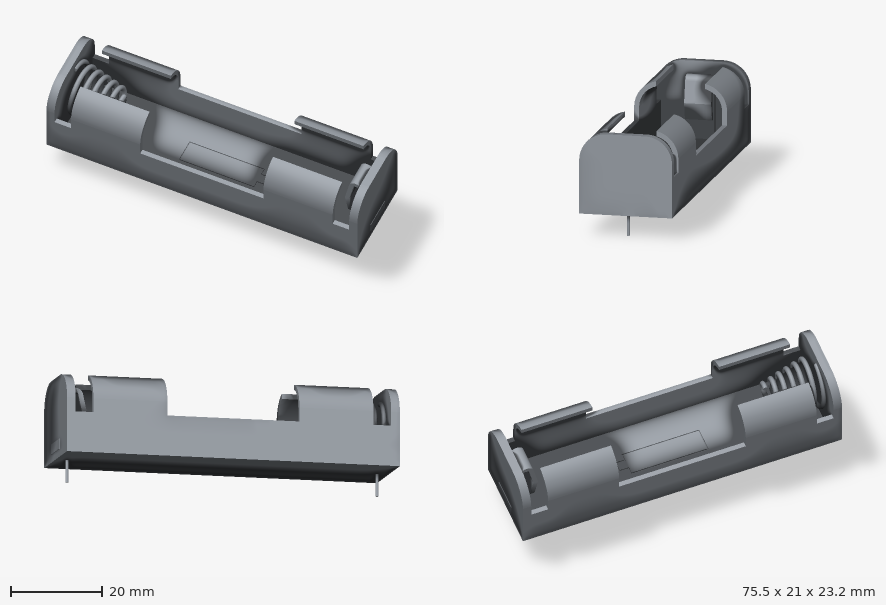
import cadquery as cq
import math

BODY_LENGTH = 75.35
BODY_WIDTH = 21.0
BODY_HEIGHT = 18.2
SHOULDER_RADIUS = 6.1
SIDE_WALL = 1.1
END_WALL = 2.0
FLOOR = 1.0

RIM_HEIGHT = 9.0
CLIP_START = 6.0
CLIP_END = 22.7
CLIP_GAP = 11.1

CELL_AXIS_HEIGHT = 9.6
WIRE_DIAMETER = 1.1
SPRING_START = 2.0
SPRING_LENGTH = 12.0
SPRING_TURNS = 6
SPRING_BASE_RADIUS = 6.0
SPRING_TIP_RADIUS = 2.95
POINTS_PER_TURN = 12

STRIP_WIDTH = 6.1
STRIP_THICKNESS = 1.05
STRIP_WALL_GAP = 0.15
STRIP_TOP = 15.6
STRIP_NOSE = 68.9
STRIP_LEAN = 0.22
STRIP_FOOT_DROP = 3.8
CROWN_BACK_RADIUS = 1.65
CROWN_FRONT_RADIUS = 1.5

PIN_DIAMETER = 0.7
PIN_LENGTH = 5.0
PIN_INSET = 2.6

SYMBOL_START = 28.6
SYMBOL_LENGTH = 18.1
SYMBOL_WIDTH = 5.4
SYMBOL_TIP_LENGTH = 2.1
SYMBOL_TIP_WIDTH = 2.3
GROOVE_WIDTH = 0.2
GROOVE_DEPTH = 0.2

PAD_WIDTH = 7.4
PAD_HEIGHT = 2.3
PAD_BOTTOM = 1.7
PAD_THICKNESS = 0.15


def block(x_start, x_end, width, z_start, z_end):
    """Box between two X and two Z positions, centred on Y."""
    return (
        cq.Workplane("XY", origin=(x_start, 0, z_start))
        .box(x_end - x_start, width, z_end - z_start, centered=(False, True, False))
    )


def rounded_bar(x_start, x_end, width, z_start, z_end, radius):
    """Lengthwise bar with rounded upper edges."""
    return block(x_start, x_end, width, z_start, z_end).edges("|X and >Z").fillet(radius)


def make_body():
    shell = rounded_bar(0, BODY_LENGTH, BODY_WIDTH, 0, BODY_HEIGHT, SHOULDER_RADIUS)
    cavity = rounded_bar(
        END_WALL,
        BODY_LENGTH - END_WALL,
        BODY_WIDTH - 2 * SIDE_WALL,
        FLOOR,
        BODY_HEIGHT - SIDE_WALL,
        SHOULDER_RADIUS - SIDE_WALL,
    )
    body = shell.cut(cavity)

    body = body.cut(block(END_WALL, BODY_LENGTH - END_WALL, CLIP_GAP, RIM_HEIGHT, BODY_HEIGHT))

    openings = (
        (END_WALL, CLIP_START),
        (CLIP_END, BODY_LENGTH - CLIP_END),
        (BODY_LENGTH - CLIP_START, BODY_LENGTH - END_WALL),
    )
    for x_start, x_end in openings:
        body = body.cut(block(x_start, x_end, BODY_WIDTH, RIM_HEIGHT, BODY_HEIGHT))
    return body


def symbol_outline(offset):
    """Battery silhouette, grown outwards by the offset."""
    x_start = SYMBOL_START - offset
    x_shoulder = SYMBOL_START + SYMBOL_LENGTH + offset
    x_tip = x_shoulder + SYMBOL_TIP_LENGTH
    half_width = SYMBOL_WIDTH / 2 + offset
    half_tip = SYMBOL_TIP_WIDTH / 2 + offset
    upper = [(x_start, half_width), (x_shoulder, half_width), (x_shoulder, half_tip), (x_tip, half_tip)]
    lower = [(x, -y) for x, y in reversed(upper)]
    return (
        cq.Workplane("XY", origin=(0, 0, FLOOR - GROOVE_DEPTH))
        .polyline(upper + lower)
        .close()
        .extrude(GROOVE_DEPTH)
    )


def make_symbol_groove():
    return symbol_outline(GROOVE_WIDTH / 2).cut(symbol_outline(-GROOVE_WIDTH / 2))


def spring_point(turn):
    """Wire centre after a number of turns, starting above the axis and winding towards +Y."""
    angle = 2 * math.pi * turn
    taper = (SPRING_TIP_RADIUS - SPRING_BASE_RADIUS) / SPRING_TURNS
    radius = SPRING_BASE_RADIUS + taper * turn
    return cq.Vector(
        SPRING_START + SPRING_LENGTH * turn / SPRING_TURNS,
        radius * math.sin(angle),
        CELL_AXIS_HEIGHT + radius * math.cos(angle),
    )


def make_spring():
    steps = SPRING_TURNS * POINTS_PER_TURN
    points = [spring_point(step / POINTS_PER_TURN) for step in range(steps + 1)]
    centre_line = cq.Workplane("XY").spline(points)
    section = cq.Workplane("XZ", origin=points[0].toTuple()).circle(WIRE_DIAMETER / 2)
    return section.sweep(centre_line, isFrenet=True)


def make_contact_strip():
    back = BODY_LENGTH - END_WALL - STRIP_WALL_GAP
    leg_depth = STRIP_THICKNESS * math.hypot(1, STRIP_LEAN)
    inner_top = STRIP_TOP - STRIP_THICKNESS
    foot = CELL_AXIS_HEIGHT - STRIP_FOOT_DROP

    def front(z):
        return STRIP_NOSE + STRIP_LEAN * abs(z - CELL_AXIS_HEIGHT)

    outline = [
        (back, FLOOR),
        (back, STRIP_TOP),
        (front(STRIP_TOP), STRIP_TOP),
        (STRIP_NOSE, CELL_AXIS_HEIGHT),
        (front(foot), foot),
        (front(foot) + leg_depth, foot),
        (STRIP_NOSE + leg_depth, CELL_AXIS_HEIGHT),
        (front(inner_top) + leg_depth, inner_top),
        (back - STRIP_THICKNESS, inner_top),
        (back - STRIP_THICKNESS, FLOOR),
    ]
    strip = cq.Workplane("XZ").polyline(outline).close().extrude(STRIP_WIDTH / 2, both=True)
    strip = strip.faces(">Z").edges(">X").fillet(CROWN_BACK_RADIUS)
    return strip.faces(">Z").edges("<X").fillet(CROWN_FRONT_RADIUS)


def make_pin(x):
    return (
        cq.Workplane("XY", origin=(x, 0, -PIN_LENGTH))
        .circle(PIN_DIAMETER / 2)
        .extrude(PIN_LENGTH + FLOOR)
    )


def make_pad():
    return block(
        BODY_LENGTH, BODY_LENGTH + PAD_THICKNESS, PAD_WIDTH, PAD_BOTTOM, PAD_BOTTOM + PAD_HEIGHT
    )


result = make_body().cut(make_symbol_groove())
result = result.union(make_contact_strip())
for pin_x in (PIN_INSET, BODY_LENGTH - PIN_INSET):
    result = result.union(make_pin(pin_x))
result = result.union(make_pad())
result = result.union(make_spring())